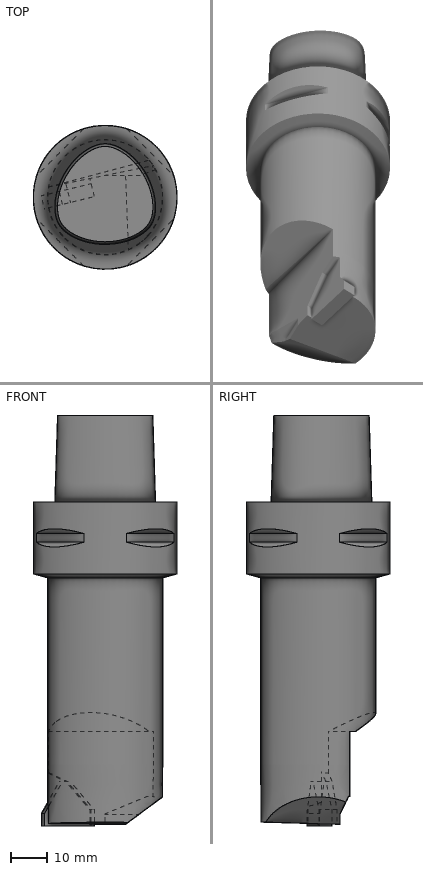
import cadquery as cq
import math

SHANK_HEIGHT = 24.0
SHANK_BASE_DIAMETER = 28.0
SHANK_TOP_DIAMETER = 26.5
LOBE_ECCENTRICITY = 0.9
LOBE_POINTS = 48

FLANGE_RADIUS = 20.0
FLANGE_HEIGHT = 20.0
FLANGE_CHAMFER_HEIGHT = 1.1

GROOVE_COUNT = 4
GROOVE_START_ANGLE = 45.0
GROOVE_FLOOR_RADIUS = 17.7
GROOVE_FLOOR_WIDTH = 2.4
GROOVE_FLANK_ANGLE = 30.0
GROOVE_Z = -FLANGE_HEIGHT / 2

BAR_RADIUS = 16.0
TOOL_LENGTH = 90.07
HEAD_TOP_Z = -73.0
HEAD_END_RADIUS = 15.95
BAR_END_Z = -89.4
END_FACE_TILT = 1.6
NOSE_CUT_START_Z = -81.9
NOSE_CUT_FLAT_X = 5.9

POCKET_TILT = 11.5
POCKET_FLOOR_OFFSET = 5.96
POCKET_TOP_Z = -63.8
RAMP_TILT = 14.9
RAMP_OFFSET = 6.82
RAMP_ANGLE = 30.0

RELIEF_TOP = (8.45, -81.8)
RELIEF_BOTTOM = (6.0, -86.8)

INSERT_TILT = 13.7
INSERT_TOP_OFFSET = 4.6
INSERT_THICKNESS = 3.7
INSERT_LEFT = -17.15
INSERT_RIGHT = -2.89
INSERT_LEFT_CORNER_Z = -86.6
INSERT_RIGHT_CORNER_Z = -85.5
INSERT_TIP_WIDTH = 2.3
INSERT_TIP_LEFT = -12.0
INSERT_TIP_Z = -77.7
RECESS_TOP_Z = -74.2

CLEARANCE = 40.0


def lobed_curve(diameter, angle):
    """Point of the polygon taper outline at a curve angle in radians."""
    radius = diameter / 2
    e = LOBE_ECCENTRICITY
    along = radius * math.cos(angle) - 2 * e * math.cos(2 * angle) + e * math.cos(4 * angle)
    across = radius * math.sin(angle) + 2 * e * math.sin(2 * angle) + e * math.sin(4 * angle)
    return across, -along


def lobed_wire(diameter, z):
    step = 2 * math.pi / LOBE_POINTS
    points = [cq.Vector(*lobed_curve(diameter, i * step), z) for i in range(LOBE_POINTS)]
    return cq.Wire.assembleEdges([cq.Edge.makeSpline(points, periodic=True)])


def make_shank():
    base = lobed_wire(SHANK_BASE_DIAMETER, 0)
    top = lobed_wire(SHANK_TOP_DIAMETER, SHANK_HEIGHT)
    return cq.Workplane(obj=cq.Solid.makeLoft([base, top]))


def make_flange_and_bar():
    return (
        cq.Workplane("XZ")
        .moveTo(0, 0)
        .lineTo(FLANGE_RADIUS, 0)
        .lineTo(FLANGE_RADIUS, -FLANGE_HEIGHT)
        .lineTo(BAR_RADIUS, -FLANGE_HEIGHT - FLANGE_CHAMFER_HEIGHT)
        .lineTo(BAR_RADIUS, HEAD_TOP_Z)
        .lineTo(HEAD_END_RADIUS, -TOOL_LENGTH)
        .lineTo(0, -TOOL_LENGTH)
        .close()
        .revolve(360, (0, 0, 0), (0, 1, 0))
    )


def make_gripper_groove(angle):
    depth = FLANGE_RADIUS - GROOVE_FLOOR_RADIUS
    half_floor = GROOVE_FLOOR_WIDTH / 2
    half_mouth = half_floor + depth * math.tan(math.radians(GROOVE_FLANK_ANGLE))
    return (
        cq.Workplane("XZ")
        .polyline([
            (GROOVE_FLOOR_RADIUS, GROOVE_Z - half_floor),
            (FLANGE_RADIUS, GROOVE_Z - half_mouth),
            (FLANGE_RADIUS, GROOVE_Z + half_mouth),
            (GROOVE_FLOOR_RADIUS, GROOVE_Z + half_floor),
        ])
        .close()
        .extrude(FLANGE_RADIUS, both=True)
        .rotate((0, 0, 0), (0, 0, 1), angle)
    )


def insert_plane():
    """Plane of the insert's top face: local x along it, local y up, normal into the bar."""
    tilt = math.radians(INSERT_TILT)
    outward = cq.Vector(-math.sin(tilt), math.cos(tilt), 0)
    return cq.Plane(
        origin=(outward * INSERT_TOP_OFFSET).toTuple(),
        xDir=(math.cos(tilt), math.sin(tilt), 0),
        normal=(outward * -1).toTuple(),
    )


def make_chip_pocket():
    """Flat-floored pocket down to the end of the bar."""
    return (
        cq.Workplane("YZ")
        .moveTo(POCKET_FLOOR_OFFSET, POCKET_TOP_Z)
        .lineTo(POCKET_FLOOR_OFFSET, -TOOL_LENGTH - CLEARANCE)
        .lineTo(POCKET_FLOOR_OFFSET + CLEARANCE, -TOOL_LENGTH - CLEARANCE)
        .lineTo(POCKET_FLOOR_OFFSET + CLEARANCE, POCKET_TOP_Z)
        .close()
        .extrude(CLEARANCE, both=True)
        .rotate((0, 0, 0), (0, 0, 1), POCKET_TILT)
    )


def make_pocket_ramp():
    """Wedge that runs the top of the chip pocket out to the side of the bar."""
    rise = CLEARANCE * math.tan(math.radians(RAMP_ANGLE))
    return (
        cq.Workplane("YZ")
        .moveTo(RAMP_OFFSET, POCKET_TOP_Z)
        .lineTo(RAMP_OFFSET + CLEARANCE, POCKET_TOP_Z)
        .lineTo(RAMP_OFFSET + CLEARANCE, POCKET_TOP_Z + rise)
        .close()
        .extrude(CLEARANCE, both=True)
        .rotate((0, 0, 0), (0, 0, 1), RAMP_TILT)
    )


def make_pocket_relief():
    return (
        cq.Workplane("YZ")
        .polyline([
            RELIEF_TOP,
            RELIEF_BOTTOM,
            (RELIEF_BOTTOM[0], -TOOL_LENGTH - CLEARANCE),
            (RELIEF_TOP[0] + CLEARANCE, -TOOL_LENGTH - CLEARANCE),
            (RELIEF_TOP[0] + CLEARANCE, RELIEF_TOP[1]),
        ])
        .close()
        .extrude(BAR_RADIUS)
    )


def make_end_cut():
    """Space below the slightly leaning end face of the bar."""
    return (
        cq.Workplane("XY")
        .box(2 * CLEARANCE, 2 * CLEARANCE, CLEARANCE, centered=(True, True, False))
        .translate((0, 0, -CLEARANCE))
        .rotate((0, 0, 0), (1, 0, 0), -END_FACE_TILT)
        .translate((0, 0, BAR_END_Z))
    )


def make_nose_cut():
    slope = (NOSE_CUT_START_Z - BAR_END_Z) / (BAR_RADIUS - NOSE_CUT_FLAT_X)
    return (
        cq.Workplane("XZ")
        .polyline([
            (NOSE_CUT_FLAT_X - CLEARANCE, BAR_END_Z - slope * CLEARANCE),
            (BAR_RADIUS + CLEARANCE, BAR_END_Z - slope * CLEARANCE),
            (BAR_RADIUS + CLEARANCE, NOSE_CUT_START_Z + slope * CLEARANCE),
        ])
        .close()
        .extrude(CLEARANCE, both=True)
    )


def make_insert():
    return (
        cq.Workplane(insert_plane())
        .polyline([
            (INSERT_LEFT, -TOOL_LENGTH),
            (INSERT_RIGHT, -TOOL_LENGTH),
            (INSERT_RIGHT, INSERT_RIGHT_CORNER_Z),
            (INSERT_TIP_LEFT + INSERT_TIP_WIDTH, INSERT_TIP_Z),
            (INSERT_TIP_LEFT, INSERT_TIP_Z),
            (INSERT_LEFT, INSERT_LEFT_CORNER_Z),
        ])
        .close()
        .extrude(INSERT_THICKNESS)
    )


def make_insert_recess():
    """Opening above the insert, from its top face out past the pocket floor."""
    return (
        cq.Workplane(insert_plane())
        .polyline([
            (INSERT_LEFT - CLEARANCE, -TOOL_LENGTH - CLEARANCE),
            (INSERT_RIGHT, -TOOL_LENGTH - CLEARANCE),
            (INSERT_RIGHT, INSERT_RIGHT_CORNER_Z),
            (INSERT_TIP_LEFT + INSERT_TIP_WIDTH, INSERT_TIP_Z),
            (INSERT_LEFT, RECESS_TOP_Z),
            (INSERT_LEFT - CLEARANCE, RECESS_TOP_Z),
        ])
        .close()
        .extrude(-CLEARANCE)
    )


insert = make_insert()

body = make_shank().union(make_flange_and_bar())
for index in range(GROOVE_COUNT):
    body = body.cut(make_gripper_groove(GROOVE_START_ANGLE + index * 360 / GROOVE_COUNT))
body = body.cut(make_chip_pocket())
body = body.cut(make_pocket_ramp())
body = body.cut(make_insert_recess())
body = body.cut(make_pocket_relief())
body = body.cut(make_end_cut())
body = body.cut(make_nose_cut())
body = body.cut(insert)

result = cq.Compound.makeCompound([body.solids().val(), insert.val()])